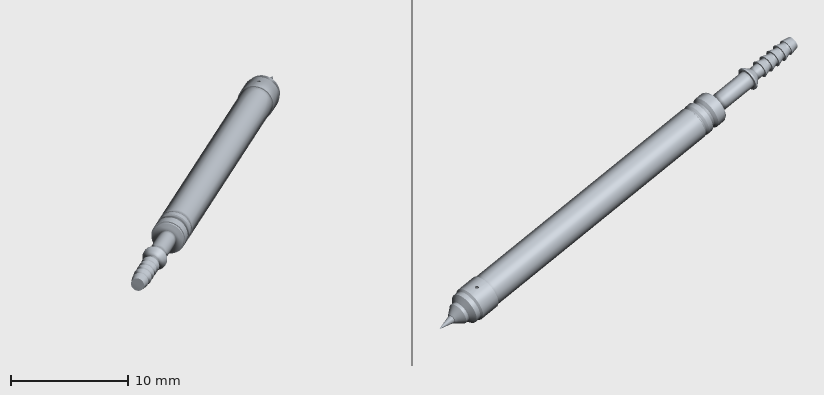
import cadquery as cq


overall_length = 42.7

needle_length = 1.45
needle_tip_radius = 0.02
needle_base_radius = 0.38
head_cone_small_radius = 0.45
head_cone_base_y = 40.48
head_radius = 1.0
head_base_y = 40.17

barrel_radius = 1.5
nose_radius = 1.47
nose_top_y = 39.7
collar_radius = 1.6
collar_bevel_top_y = 39.25
collar_top_y = 39.05
collar_bottom_y = 37.2

index_hole_diameter = 0.34
index_hole_depth = 0.2
index_hole_y = 38.2

barrel_bottom_y = 9.5
end_step_radius = 1.4
end_step_y = 9.67
crimp_top_y = 12.05
crimp_depth = 0.1
crimp_wall_length = 0.06
crimp_floor_length = 0.12
crimp_ramp_length = 0.25
groove_top_y = 11.15
groove_depth = 0.2
groove_wall_length = 0.08
groove_floor_length = 0.27
groove_ramp_length = 0.3

stem_top_y = 9.3
stem_radius = 0.8
flange_radius = 1.08
flange_top_y = 5.5
flange_bottom_y = 5.35
flange_cone_end_y = 4.75

core_radius = 0.6
barb_radius = 0.8
barb_pitch = 0.8
barb_count = 4
barb_cone_length = 0.6
end_cone_radius = 0.73
end_face_radius = 0.58


def turned(profile):
    """Revolve a run of (radius, y) points, closed along the axis, about Y."""
    first_y = profile[0][1]
    last_y = profile[-1][1]
    outline = [(0, first_y)] + profile + [(0, last_y)]
    return cq.Workplane("XY").polyline(outline).close().revolve(360, (0, 0), (0, 1))


def plunger_head():
    needle_base_y = overall_length - needle_length
    return turned([
        (needle_tip_radius, overall_length),
        (needle_base_radius, needle_base_y),
        (head_cone_small_radius, needle_base_y),
        (head_radius, head_cone_base_y),
        (head_radius, head_base_y),
    ])


def barrel():
    return turned([
        (head_radius, head_base_y),
        (nose_radius, nose_top_y),
        (nose_radius, collar_bevel_top_y),
        (collar_radius, collar_top_y),
        (collar_radius, collar_bottom_y),
        (barrel_radius, collar_bottom_y),
        (barrel_radius, end_step_y),
        (end_step_radius, end_step_y),
        (end_step_radius, barrel_bottom_y),
    ])


def ring_groove(top_y, depth, wall_length, floor_length, ramp_length):
    """Ring cutter with a steep wall at +Y, a flat floor and a gentle ramp at -Y."""
    floor_radius = barrel_radius - depth
    floor_top_y = top_y - wall_length
    floor_bottom_y = floor_top_y - floor_length
    outline = [
        (barrel_radius, top_y),
        (floor_radius, floor_top_y),
        (floor_radius, floor_bottom_y),
        (barrel_radius, floor_bottom_y - ramp_length),
    ]
    return cq.Workplane("XY").polyline(outline).close().revolve(360, (0, 0), (0, 1))


def stem():
    return turned([
        (end_step_radius, barrel_bottom_y),
        (stem_radius, stem_top_y),
        (stem_radius, flange_top_y),
        (flange_radius, flange_top_y),
        (flange_radius, flange_bottom_y),
        (core_radius, flange_cone_end_y),
        (core_radius, barb_pitch),
        (end_cone_radius, barb_pitch),
        (end_face_radius, 0),
    ])


def barb(shoulder_y):
    """Cone that widens toward +Y and ends in a flat shoulder."""
    return turned([
        (barb_radius, shoulder_y),
        (core_radius, shoulder_y - barb_cone_length),
    ])


def index_hole():
    cutter = cq.Workplane("XY", origin=(0, index_hole_y, collar_radius))
    return cutter.circle(index_hole_diameter / 2).extrude(-index_hole_depth)


def probe():
    body = plunger_head().union(barrel()).union(stem())
    for index in range(barb_count):
        shoulder_y = (index + 2) * barb_pitch
        body = body.union(barb(shoulder_y))
    crimp = ring_groove(crimp_top_y, crimp_depth, crimp_wall_length, crimp_floor_length, crimp_ramp_length)
    groove = ring_groove(
        groove_top_y, groove_depth, groove_wall_length, groove_floor_length, groove_ramp_length
    )
    return body.cut(crimp).cut(groove).cut(index_hole())


result = probe()